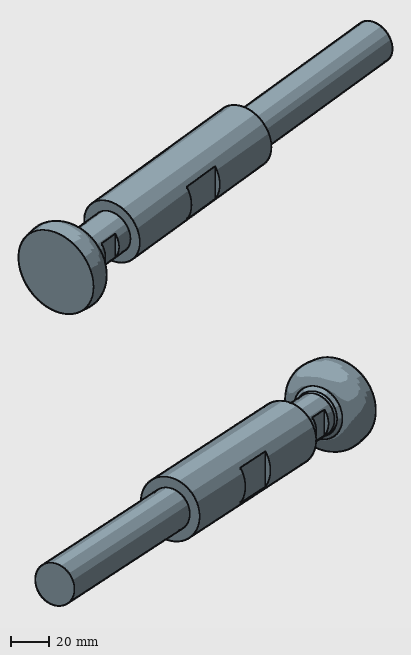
import cadquery as cq

TOTAL_LENGTH = 280.0
HEAD_RADIUS = 50.0 / 2
FACE_RADIUS = 24.5

SHAFT_DIAMETER = 24.0
SHAFT_RADIUS = SHAFT_DIAMETER / 2
RIM_START = 6.2
RIM_END = 8.7
SHOULDER_END = 18.0
SHOULDER_END_RADIUS = 14.8
SHOULDER_MID = 14.5
SHOULDER_MID_RADIUS = 22.0
NECK_CONE_END = 19.5
NECK_CONE_RADIUS = 12.5
NECK_END = 21.3

SHAFT_FLAT_START = 27.2
SHAFT_FLAT_LENGTH = 12.0
SHAFT_ACROSS_FLATS = 19.0

SLEEVE_START = 49.3
SLEEVE_LENGTH = 116.0
SLEEVE_DIAMETER = 36.0
SLEEVE_FLAT_LENGTH = 25.0
SLEEVE_ACROSS_FLATS = 30.0
SLEEVE_FLAT_START = SLEEVE_START + (SLEEVE_LENGTH - SLEEVE_FLAT_LENGTH) / 2

FRONT_Y = -TOTAL_LENGTH / 2


def cylinder_along_y(diameter, start, length):
    """Cylinder on the Y axis, starting a given distance behind the front face."""
    plane = cq.Workplane("XZ", origin=(0, FRONT_Y + start, 0))
    return plane.circle(diameter / 2).extrude(-length)


def cut_wrench_flats(body, diameter, across_flats, start, length):
    """Cut two parallel flats, facing -X and +X, into a round body."""
    center_x = (across_flats + diameter) / 2
    for side in (-1, 1):
        cutter = cq.Workplane("XY").box(diameter, length, 2 * diameter).translate(
            (side * center_x, FRONT_Y + start + length / 2, 0)
        )
        body = body.cut(cutter)
    return body


def make_plunger():
    """Shaft with a rounded head, turned about the Y axis."""
    profile = (
        cq.Workplane("XY", origin=(0, FRONT_Y, 0))
        .lineTo(FACE_RADIUS, 0)
        .lineTo(HEAD_RADIUS, RIM_START)
        .lineTo(HEAD_RADIUS, RIM_END)
        .threePointArc((SHOULDER_MID_RADIUS, SHOULDER_MID), (SHOULDER_END_RADIUS, SHOULDER_END))
        .lineTo(NECK_CONE_RADIUS, NECK_CONE_END)
        .lineTo(SHAFT_RADIUS, NECK_END)
        .lineTo(SHAFT_RADIUS, TOTAL_LENGTH)
        .lineTo(0, TOTAL_LENGTH)
        .close()
    )
    body = profile.revolve(360, (0, 0, 0), (0, 1, 0))
    return cut_wrench_flats(
        body, SHAFT_DIAMETER, SHAFT_ACROSS_FLATS, SHAFT_FLAT_START, SHAFT_FLAT_LENGTH
    )


def make_sleeve():
    """Sleeve bored to the shaft diameter, with flats at mid-length."""
    body = cylinder_along_y(SLEEVE_DIAMETER, SLEEVE_START, SLEEVE_LENGTH)
    body = body.cut(cylinder_along_y(SHAFT_DIAMETER, SLEEVE_START, SLEEVE_LENGTH))
    return cut_wrench_flats(
        body, SLEEVE_DIAMETER, SLEEVE_ACROSS_FLATS, SLEEVE_FLAT_START, SLEEVE_FLAT_LENGTH
    )


plunger = make_plunger()
sleeve = make_sleeve()

result = cq.Compound.makeCompound([plunger.val(), sleeve.val()])